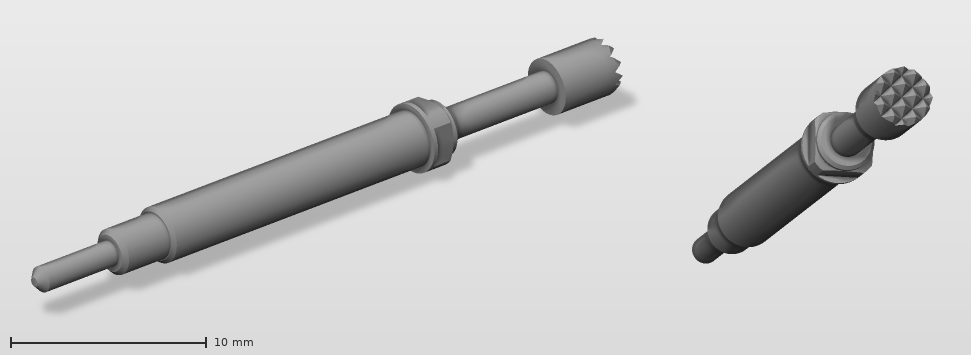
import cadquery as cq
import math

flange_diameter = 3.75
flange_thickness = 0.25
barrel_diameter = 3.05
barrel_length = 17.0
barrel_chamfer = 0.2

sleeve_diameter = 2.5
sleeve_length = 3.0
sleeve_chamfer = 0.25

tail_diameter = 1.4
tail_length = 5.0
tail_tip_diameter = 0.5
tail_tip_length = (tail_diameter - tail_tip_diameter) / 2

nut_length = 1.75
collar_length = 0.43
collar_chamfer = 0.18
nut_chamfer_angle = 30.0

plunger_diameter = 1.75
plunger_length = 7.0

head_diameter = barrel_diameter
head_length = 4.0
tooth_pitch = 0.8
tooth_angle = 60.0

nut_face_y = flange_thickness + nut_length
head_base_y = nut_face_y + plunger_length
head_top_y = head_base_y + head_length
barrel_end_y = -barrel_length
sleeve_end_y = barrel_end_y - sleeve_length
tail_end_y = sleeve_end_y - tail_length


def turned(points):
    """Revolve (radius, y) corners, closed along the axis, about the Y axis."""
    profile = [(0, points[0][1])] + points + [(0, points[-1][1])]
    return cq.Workplane("XY").polyline(profile).close().revolve(360, (0, 0, 0), (0, 1, 0))


def make_body():
    """Tail, sleeve, barrel and flange turned in one piece."""
    tail_radius = tail_diameter / 2
    sleeve_radius = sleeve_diameter / 2
    barrel_radius = barrel_diameter / 2
    flange_radius = flange_diameter / 2
    return turned([
        (tail_tip_diameter / 2, tail_end_y),
        (tail_radius, tail_end_y + tail_tip_length),
        (tail_radius, sleeve_end_y),
        (sleeve_radius - sleeve_chamfer, sleeve_end_y),
        (sleeve_radius, sleeve_end_y + sleeve_chamfer),
        (sleeve_radius, barrel_end_y),
        (barrel_radius - barrel_chamfer, barrel_end_y),
        (barrel_radius, barrel_end_y + barrel_chamfer),
        (barrel_radius, 0),
        (flange_radius, 0),
        (flange_radius, flange_thickness),
    ])


def make_nut():
    """Square section with corners turned to the flange diameter, below a chamfered round collar."""
    collar_radius = barrel_diameter / 2
    corner_radius = flange_diameter / 2
    shoulder_y = nut_face_y - collar_length
    flare_length = (corner_radius - collar_radius) * math.tan(math.radians(nut_chamfer_angle))
    blank = turned([
        (corner_radius, 0),
        (corner_radius, shoulder_y - flare_length),
        (collar_radius, shoulder_y),
        (collar_radius, nut_face_y - collar_chamfer),
        (collar_radius - collar_chamfer, nut_face_y),
    ])
    square = cq.Workplane("XY").box(barrel_diameter, 2 * nut_face_y, barrel_diameter)
    return blank.intersect(square)


def make_plunger():
    """Plunger rod with its head."""
    return turned([
        (plunger_diameter / 2, 0),
        (plunger_diameter / 2, head_base_y),
        (head_diameter / 2, head_base_y),
        (head_diameter / 2, head_top_y),
    ])


def cut_teeth(part):
    """Cross the head face with two diagonal sets of V grooves, leaving pyramid teeth."""
    tooth_depth = tooth_pitch / 2 / math.tan(math.radians(tooth_angle / 2))
    grooves_each_side = math.ceil(head_diameter / 2 / tooth_pitch)
    for i in range(-grooves_each_side, grooves_each_side + 1):
        x = i * tooth_pitch
        groove = (
            cq.Workplane("XY")
            .polyline([
                (x - tooth_pitch / 2, head_top_y),
                (x, head_top_y - tooth_depth),
                (x + tooth_pitch / 2, head_top_y),
            ])
            .close()
            .extrude(head_diameter, both=True)
        )
        for angle in (-45, 45):
            part = part.cut(groove.rotate((0, 0, 0), (0, 1, 0), angle))
    return part


result = cut_teeth(make_body().union(make_nut()).union(make_plunger()))